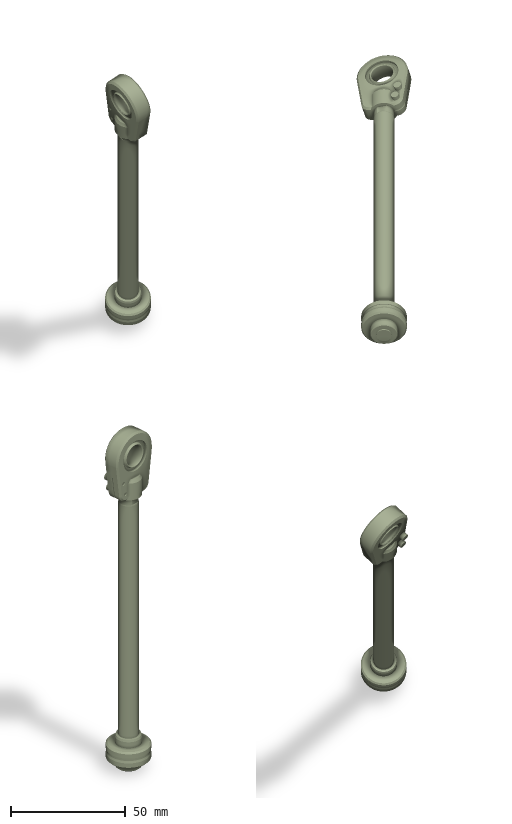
import cadquery as cq
import math

total_height = 170.4
eye_diameter = 23.0
eye_radius = eye_diameter / 2
eye_height = total_height - eye_radius
shank_bottom = 138.2
shank_top = 148.2
flats_bottom = 134.8

rod_diameter = 9.0
flats_width = 7.8
neck_diameter = 8.9
rod_chamfer = 0.5

plate_thickness = 8.0
plate_half_base = 8.9
plate_corner_radius = 4.1
plate_edge_chamfer = 0.9
shank_diameter = 12.0
shank_chamfer_height = 1.5
shank_chamfer_width = 0.9
shank_blend_radius = 0.5
corner_search_margin = 0.3

seat_radius = 7.5
seat_depth = 1.2
ball_radius = 6.6
ball_width = 7.7
bore_radius = 5.0
bore_chamfer = 0.3

slit_width = 0.9
slit_top = 150.8
screw_centers = [(-7.5, 147.9), (-6.3, 142.1)]
screw_head_radius = 1.7
screw_head_depth = 2.0
screw_tip_radius = 0.9
screw_tip_recess = 0.5

piston_diameter = 20.0
piston_radius = piston_diameter / 2
piston_bottom = 4.3
piston_top = 12.5
piston_chamfer = 0.7
groove_bottom = 7.2
groove_top = 9.5
groove_floor_width = 1.4
groove_depth = 0.3
collar_radius = 6.0
collar_bottom = 0.5
collar_top = 16.5
collar_chamfer = 0.3
collar_lead_in = 1.0
stud_radius = 3.4


def cylinder_z(radius, bottom, top):
    return cq.Workplane("XY", origin=(0, 0, bottom)).circle(radius).extrude(top - bottom)


def cylinder_y(radius, y_start, y_end, x, z):
    """Cylinder along Y between two Y positions."""
    plane = cq.Workplane("XZ", origin=(x, y_end, z))
    return plane.circle(radius).extrude(y_end - y_start)


def make_rod():
    """Round rod with a slightly thinner, flatted neck below the shank."""
    rod = cylinder_z(rod_diameter / 2, collar_bottom, flats_bottom)
    rod = rod.faces(">Z").edges().chamfer(rod_chamfer, (rod_diameter - neck_diameter) / 2)
    rod = rod.union(cylinder_z(neck_diameter / 2, collar_bottom, shank_bottom))
    flats_height = shank_bottom - flats_bottom
    side_cut = cq.Workplane("XY").box(
        rod_diameter, rod_diameter, flats_height, centered=(True, False, False)
    )
    for direction in (0, 180):
        cutter = side_cut.translate((0, flats_width / 2, flats_bottom))
        rod = rod.cut(cutter.rotate((0, 0, 0), (0, 0, 1), direction))
    return rod


def make_plate():
    """Teardrop plate: flanks run tangent from the eye to a rounded base."""
    drop = eye_height - shank_bottom
    base_distance = math.hypot(plate_half_base, drop)
    tangent_angle = math.acos(eye_radius / base_distance) - math.atan2(drop, plate_half_base)
    tangent_x = eye_radius * math.cos(tangent_angle)
    tangent_z = eye_height + eye_radius * math.sin(tangent_angle)
    plate = (
        cq.Workplane("XZ", origin=(0, plate_thickness / 2, 0))
        .moveTo(-plate_half_base, shank_bottom)
        .lineTo(-tangent_x, tangent_z)
        .threePointArc((0, total_height), (tangent_x, tangent_z))
        .lineTo(plate_half_base, shank_bottom)
        .close()
        .extrude(plate_thickness)
    )
    plate = plate.edges("|Y").edges("<Z").fillet(plate_corner_radius)
    return plate.faces("<Y or >Y").edges().chamfer(plate_edge_chamfer)


def make_shank():
    shank = cylinder_z(shank_diameter / 2, shank_bottom, shank_top)
    return shank.faces(">Z").edges().chamfer(shank_chamfer_height, shank_chamfer_width)


def fit_bearing(body):
    """Sink the bearing seat on both faces, then add the bored ball."""
    face = plate_thickness / 2
    body = body.cut(cylinder_y(seat_radius, -face, seat_depth - face, 0, eye_height))
    body = body.cut(cylinder_y(seat_radius, face - seat_depth, face, 0, eye_height))
    ball = cq.Workplane("XY").sphere(ball_radius)
    ball = ball.intersect(cq.Workplane("XY").box(2 * ball_radius, ball_width, 2 * ball_radius))
    ball = ball.cut(cylinder_y(bore_radius, -ball_width / 2, ball_width / 2, 0, 0))
    ball = ball.edges(cq.selectors.RadiusNthSelector(0)).chamfer(bore_chamfer)
    body = body.cut(cylinder_y(bore_radius + bore_chamfer, -face, face, 0, eye_height))
    return body.union(ball.translate((0, 0, eye_height)))


def cut_slit(body):
    """Slit the -X flank from its edge to the rod surface."""
    slit_depth = eye_radius - rod_diameter / 2
    slit = cq.Workplane("XY", origin=(-eye_radius, 0, shank_bottom)).box(
        slit_depth, slit_width, slit_top - shank_bottom, centered=(False, True, False)
    )
    return body.cut(slit)


def add_clamp_screws(body):
    """Screw heads stand on the +Y face; their tips sit recessed in the -Y face."""
    face = plate_thickness / 2
    for x, z in screw_centers:
        body = body.union(cylinder_y(screw_head_radius, face - screw_head_depth, shank_diameter / 2, x, z))
        body = body.cut(cylinder_y(screw_tip_radius, -face, screw_tip_recess - face, x, z))
    return body


def make_piston():
    """Grooved disc on a collar; the groove is square on top and sloped below."""
    piston = cylinder_z(piston_radius, piston_bottom, piston_top).edges().chamfer(piston_chamfer)
    floor_radius = piston_radius - groove_depth
    groove = (
        cq.Workplane("XZ")
        .moveTo(piston_radius, groove_bottom)
        .lineTo(floor_radius, groove_top - groove_floor_width)
        .lineTo(floor_radius, groove_top)
        .lineTo(piston_radius, groove_top)
        .close()
        .revolve(360, (0, 0, 0), (0, 1, 0))
    )
    collar = cylinder_z(collar_radius, collar_bottom, collar_top)
    collar = collar.faces("<Z").edges().chamfer(collar_chamfer)
    collar = collar.faces(">Z").edges().chamfer(collar_lead_in, collar_chamfer)
    stud = cylinder_z(stud_radius, 0, collar_top)
    return piston.cut(groove).union(collar).union(stud)


def join_shank(plate):
    """Fuse the shank into the plate and blend the upright corners between them."""
    body = plate.union(make_shank())
    corner_x = math.sqrt((shank_diameter / 2) ** 2 - (plate_thickness / 2) ** 2)
    reach = corner_x + corner_search_margin
    corners = cq.selectors.BoxSelector(
        (-reach, -plate_thickness, shank_bottom),
        (reach, plate_thickness, shank_top),
    )
    return body.edges(corners).edges("|Z").fillet(shank_blend_radius)


rod_end = fit_bearing(join_shank(make_plate()))
rod_end = add_clamp_screws(cut_slit(rod_end))
result = make_rod().union(rod_end).union(make_piston())